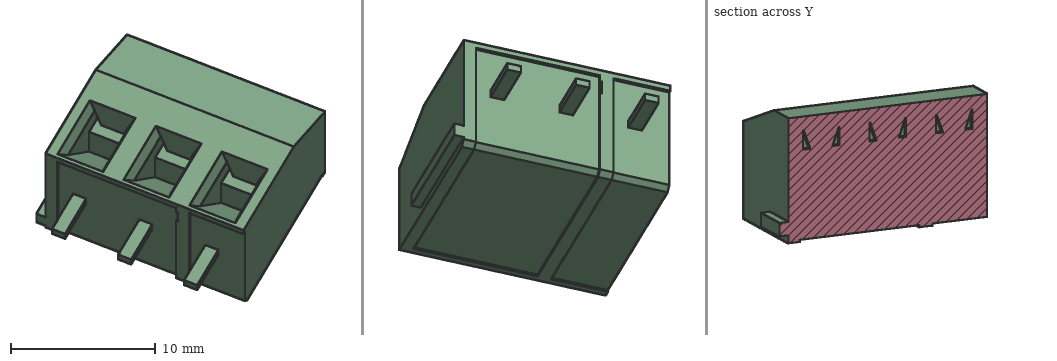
import cadquery as cq


width = 15.24
depth = 13.01
height = 9.0
back_height = 7.0
roof_slope_length = 5.01
chamfer = 0.4

pole_count = 3
pitch = width / pole_count
pole_positions = [(i - (pole_count - 1) / 2) * pitch for i in range(pole_count)]

panel_recess = 0.2
lip_height = 0.46
left_rib_width = 0.9
left_panel_width = 9.15
rib_width = 1.0
panel_chamfer_top = 0.52
bottom_recess = 0.15

notch_width = 0.13
notch_height = 1.0
notch_bottom = 7.04
notch_depth = 0.4

rail_width = 0.7
rail_height = 1.0
rail_length = 8.65
rail_bottom = 0.57

pin_width = 1.0
pin_thickness = 0.55
pin_length = 3.18
pin_center_z = 5.0
stud_diameter = 0.5
stud_length = 0.18
stud_center_z = 3.45

pocket_width = 3.5
pocket_front = 0.31
pocket_length = 5.14
throat_width = 2.77
funnel_depth = 1.0
ledge_depth = 2.37
floor_depth = 4.67
ledge_length = 0.88
tongue_thickness = 0.49

left_side = -width / 2
right_side = width / 2


def extrude_along_x(points, x_start, length):
    """Extrude a (Y, Z) outline along +X from x_start."""
    return cq.Workplane("YZ", origin=(x_start, 0, 0)).polyline(points).close().extrude(length)


def box(x, y, z, size_x, size_y, size_z):
    """Box with its lowest corner at (x, y, z)."""
    return cq.Workplane("XY").box(size_x, size_y, size_z, centered=False).translate((x, y, z))


def make_housing():
    outline = [
        (chamfer, 0),
        (depth, 0),
        (depth, back_height),
        (depth - roof_slope_length, height),
        (0, height),
        (0, chamfer),
    ]
    return extrude_along_x(outline, left_side, width)


def make_panel_recess(x_start, length):
    """Shallow cut in the front that wraps over the bottom chamfer and runs along the bottom."""
    panel_top = height - lip_height
    chamfer_back = panel_recess + panel_chamfer_top - bottom_recess
    recess_back = depth - lip_height
    outline = [
        (0, 0),
        (recess_back, 0),
        (recess_back, bottom_recess),
        (chamfer_back, bottom_recess),
        (panel_recess, panel_chamfer_top),
        (panel_recess, panel_top),
        (0, panel_top),
    ]
    return extrude_along_x(outline, x_start, length)


def make_pocket(x_center):
    """Funnel with tapered sides, a sloped front wall, a ledge and a tapered tongue at the back."""
    pocket_back = pocket_front + pocket_length
    ledge_front = pocket_back - ledge_length
    ledge_z = height - ledge_depth
    floor_z = height - floor_depth
    side_outline = [
        (pocket_front, height),
        (ledge_front, floor_z),
        (ledge_front, ledge_z),
        (pocket_back, ledge_z),
        (pocket_back, height),
    ]
    side = extrude_along_x(side_outline, x_center - pocket_width / 2, pocket_width)
    throat_z = height - funnel_depth
    front_outline = [
        (x_center - pocket_width / 2, height),
        (x_center - throat_width / 2, throat_z),
        (x_center - throat_width / 2, 0),
        (x_center + throat_width / 2, 0),
        (x_center + throat_width / 2, throat_z),
        (x_center + pocket_width / 2, height),
    ]
    front = cq.Workplane("XZ").polyline(front_outline).close().extrude(-depth)
    pocket = side.intersect(front)
    tongue_tip_width = pocket_width - (pocket_width - throat_width) * ledge_depth / funnel_depth
    for side_sign in (-1, 1):
        gap_outline = [
            (x_center + side_sign * throat_width / 2, throat_z),
            (x_center + side_sign * throat_width / 2, ledge_z),
            (x_center + side_sign * tongue_tip_width / 2, ledge_z),
        ]
        gap_plane = cq.Workplane("XZ", origin=(0, pocket_back, 0))
        pocket = pocket.union(gap_plane.polyline(gap_outline).close().extrude(-tongue_thickness))
    return pocket


def make_pin(x_center):
    """Flat pin that reaches through the panel recess to the housing."""
    left = x_center - pin_width / 2
    bottom = pin_center_z - pin_thickness / 2
    total_length = pin_length + panel_recess
    return box(left, -pin_length, bottom, pin_width, total_length, pin_thickness)


def make_stud(x_center):
    plane = cq.Workplane("XZ", origin=(x_center, depth, stud_center_z))
    return plane.circle(stud_diameter / 2).extrude(-stud_length)


result = make_housing()

left_panel_start = left_side + left_rib_width
rib_start = left_panel_start + left_panel_width
right_panel_start = rib_start + rib_width
result = result.cut(make_panel_recess(left_panel_start, left_panel_width))
result = result.cut(make_panel_recess(right_panel_start, right_side - right_panel_start))
result = result.cut(box(rib_start, 0, notch_bottom, notch_width, notch_depth, notch_height))

result = result.union(box(left_side - rail_width, 0, rail_bottom, rail_width, rail_length, rail_height))

for x_center in pole_positions:
    result = result.cut(make_pocket(x_center))
    result = result.union(make_pin(x_center))
    result = result.union(make_stud(x_center))